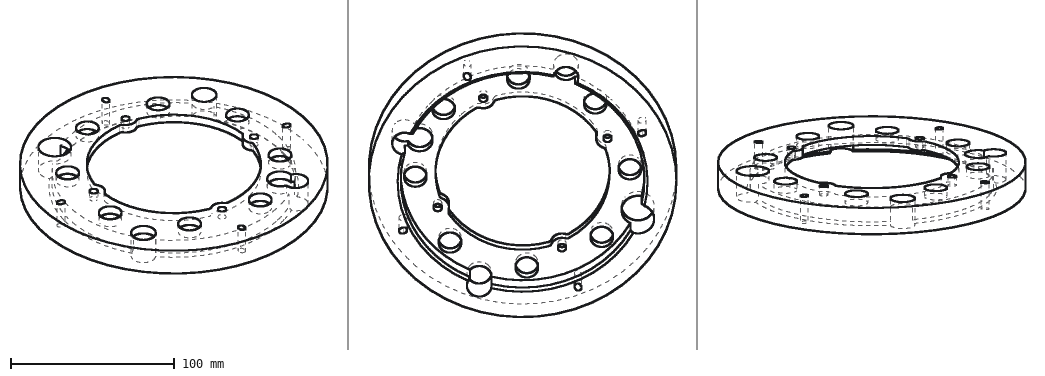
import cadquery as cq
import math

outer_diameter = 188
height = 17
web_thickness = 5.6
cavity_diameter = 148.9
cavity_chamfer = 1.9
bore_diameter = 106.5

screw_circle_radius = 57.2
screw_hole_diameter = 5.0
lug_radius = 7.0
lug_fillet = 2.5

slot_circle_radius = 80.5
slot_length = 5.0
slot_width = 4.0

vent_diameter = 14.0
vent_near_offset = 25.2
vent_far_offset = 60.5

corner_diameter = 15
corner_offset = 54.3
keyhole_diameter = 16.0
keyhole_offset = 47.4
large_corner_diameter = 20.0
large_corner_offset = 53.0

QUARTER_ANGLES = [0, 90, 180, 270]


def through_holes(points, diameter):
    """Full-height cylinders at the given XY points."""
    return cq.Workplane("XY").pushPoints(points).circle(diameter / 2).extrude(height)


def on_axes(radius):
    """Four points at the given radius on the X and Y axes."""
    angles = [math.radians(angle) for angle in QUARTER_ANGLES]
    return [(radius * math.cos(a), radius * math.sin(a)) for a in angles]


def ring_with_lugs():
    """Disc with a chamfered lower cavity, under a thin web that carries the lugged bore."""
    disc = cq.Workplane("XY").circle(outer_diameter / 2).extrude(height)
    cavity_depth = height - web_thickness
    cavity = cq.Workplane("XY").circle(cavity_diameter / 2).extrude(cavity_depth)
    mouth_radius = cavity_diameter / 2 + cavity_chamfer
    mouth = cq.Workplane("XY").circle(mouth_radius).extrude(cavity_chamfer, taper=45)
    bore = cq.Workplane("XY").workplane(offset=cavity_depth).circle(bore_diameter / 2).extrude(web_thickness)
    bore = bore.cut(through_holes(on_axes(screw_circle_radius), 2 * lug_radius))
    bore = bore.edges("|Z").fillet(lug_fillet)
    return disc.cut(cavity).cut(mouth).cut(bore)


def radial_slots():
    """Four short slots through the rim, each pointing at the centre."""
    slot = cq.Workplane("XY").center(slot_circle_radius, 0).slot2D(slot_length, slot_width).extrude(height)
    slots = slot
    for angle in QUARTER_ANGLES[1:]:
        slots = slots.union(slot.rotate((0, 0, 0), (0, 0, 1), angle))
    return slots


vent_points = []
for x_side in (-1, 1):
    for y_side in (-1, 1):
        vent_points.append((x_side * vent_near_offset, y_side * vent_far_offset))
        vent_points.append((x_side * vent_far_offset, y_side * vent_near_offset))

corner_points = [
    (-corner_offset, corner_offset),
    (corner_offset, corner_offset),
    (corner_offset, -corner_offset),
]

result = (
    ring_with_lugs()
    .cut(through_holes(on_axes(screw_circle_radius), screw_hole_diameter))
    .cut(radial_slots())
    .cut(through_holes(vent_points, vent_diameter))
    .cut(through_holes(corner_points, corner_diameter))
    .cut(through_holes([(keyhole_offset, keyhole_offset)], keyhole_diameter))
    .cut(through_holes([(-large_corner_offset, -large_corner_offset)], large_corner_diameter))
)